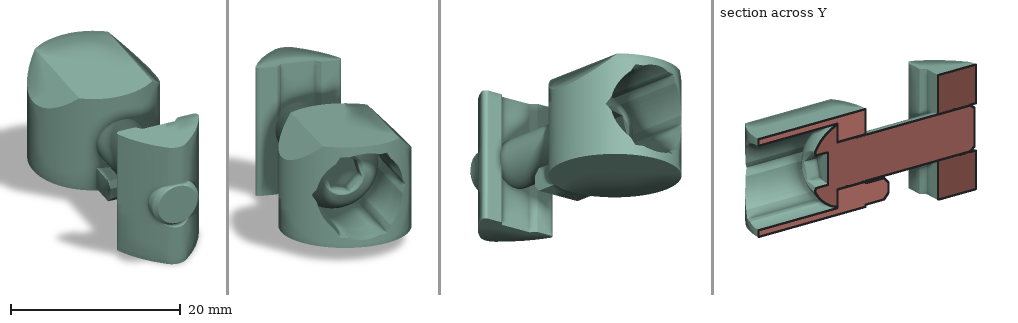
import cadquery as cq
import math


housing_radius = 7.85
housing_height = 12.55
flat_half_width = 4.75
bore_radius = 5.37
hex_bore_corners = 11.6

tab_end_x = 11.2
tab_width = 5.9
tab_top_z = -3.2
tab_height = 2.8
tab_chamfer_length = 0.67
tab_chamfer_height = 0.73

shank_radius = 3.0
bolt_end_x = 23.7
shank_length = 20.0
tip_chamfer_length = 0.6
tip_chamfer_depth = 0.48
head_radius = 5.2
head_height = 3.3
head_rim = 0.32
head_top_radius = 2.57
socket_flats = 4.0
socket_depth = 1.9
socket_turn = 13.0
socket_mouth_radius = 2.48
socket_mouth_depth = 0.15
seat_x = bolt_end_x - shank_length

nut_back_x = 17.68
nut_depth = 6.25
nut_half_width = 5.28
nut_height = 16.0
nut_corner_radius = 0.5
notch_depth = 0.67
notch_half_width = 2.73
notch_floor_half_width = 2.1
flank_start = (0.67, 5.25)
flank_middle = (3.2, 3.72)
flank_end = (5.75, 1.3)


def x_cylinder(radius, start_x, end_x):
    """Round bar along the X axis."""
    return cq.Workplane("YZ", origin=(start_x, 0, 0)).circle(radius).extrude(end_x - start_x)


def make_tab():
    """Flat bar from inside the housing wall, with its free end chamfered above and below."""
    tab_bottom_z = tab_top_z - tab_height
    root_x = seat_x + tab_chamfer_length
    shoulder_x = tab_end_x - tab_chamfer_length
    return (
        cq.Workplane("XZ")
        .moveTo(root_x, tab_top_z)
        .lineTo(shoulder_x, tab_top_z)
        .lineTo(tab_end_x, tab_top_z - tab_chamfer_height)
        .lineTo(tab_end_x, tab_bottom_z + tab_chamfer_height)
        .lineTo(shoulder_x, tab_bottom_z)
        .lineTo(root_x, tab_bottom_z)
        .close()
        .extrude(tab_width / 2, both=True)
    )


def make_housing():
    """Upright cylinder with two top bevels, a blind bore for the bolt head and a tab."""
    half_height = housing_height / 2
    bevel = housing_radius - flat_half_width
    bevelled_block = (
        cq.Workplane("YZ")
        .moveTo(-housing_radius, -half_height)
        .lineTo(housing_radius, -half_height)
        .lineTo(housing_radius, half_height - bevel)
        .lineTo(flat_half_width, half_height)
        .lineTo(-flat_half_width, half_height)
        .lineTo(-housing_radius, half_height - bevel)
        .close()
        .extrude(housing_radius, both=True)
    )
    cylinder = cq.Workplane("XY").circle(housing_radius).extrude(half_height, both=True)
    bore = x_cylinder(bore_radius, -housing_radius, seat_x)
    hex_bore = (
        cq.Workplane("YZ", origin=(-housing_radius, 0, 0))
        .polygon(6, hex_bore_corners)
        .extrude(seat_x + housing_radius)
    )
    shank_hole = x_cylinder(shank_radius, seat_x, housing_radius)
    body = cylinder.intersect(bevelled_block).union(make_tab())
    return body.cut(bore).cut(hex_bore).cut(shank_hole)


def make_bolt():
    """Domed head seated on the bore floor, with a hexagon socket and a chamfered shank."""
    top_x = seat_x - head_height
    rim_x = seat_x - head_rim
    dome_height = rim_x - top_x
    centre_offset = (head_radius**2 - head_top_radius**2 - dome_height**2) / (2 * dome_height)
    dome_radius = math.hypot(head_radius, centre_offset)
    dome_middle_radius = (head_radius + head_top_radius) / 2
    dome_middle_x = rim_x + centre_offset - math.sqrt(dome_radius**2 - dome_middle_radius**2)
    bolt = (
        cq.Workplane("XY")
        .moveTo(top_x, 0)
        .lineTo(top_x, head_top_radius)
        .threePointArc((dome_middle_x, dome_middle_radius), (rim_x, head_radius))
        .lineTo(seat_x, head_radius)
        .lineTo(seat_x, shank_radius)
        .lineTo(bolt_end_x - tip_chamfer_length, shank_radius)
        .lineTo(bolt_end_x, shank_radius - tip_chamfer_depth)
        .lineTo(bolt_end_x, 0)
        .close()
        .revolve(360, (0, 0, 0), (1, 0, 0))
    )
    socket_corners = socket_flats / math.cos(math.radians(30))
    socket = (
        cq.Workplane("YZ", origin=(top_x, 0, 0))
        .polygon(6, socket_corners)
        .extrude(socket_depth)
        .rotate((0, 0, 0), (1, 0, 0), socket_turn)
    )
    socket_mouth = (
        cq.Workplane("XY")
        .moveTo(top_x, 0)
        .lineTo(top_x, socket_mouth_radius)
        .lineTo(top_x + socket_mouth_depth, socket_flats / 2)
        .lineTo(top_x + socket_mouth_depth, 0)
        .close()
        .revolve(360, (0, 0, 0), (1, 0, 0))
    )
    return bolt.cut(socket).cut(socket_mouth)


def make_nut():
    """Upright wedge-shaped nut with curved flanks, a notched back and a hole for the shank."""
    corner_y = nut_half_width - nut_corner_radius
    corner_shift = nut_corner_radius * math.sqrt(0.5)
    corner_middle = (nut_corner_radius - corner_shift, corner_y + corner_shift)

    def mirrored(point):
        return (point[0], -point[1])

    profile = (
        cq.Workplane("XY", origin=(nut_back_x, 0, -nut_height / 2))
        .moveTo(notch_depth, -notch_floor_half_width)
        .lineTo(notch_depth, notch_floor_half_width)
        .lineTo(0, notch_half_width)
        .lineTo(0, corner_y)
        .threePointArc(corner_middle, (nut_corner_radius, nut_half_width))
        .lineTo(*flank_start)
        .threePointArc(flank_middle, flank_end)
        .threePointArc((nut_depth, 0), mirrored(flank_end))
        .threePointArc(mirrored(flank_middle), mirrored(flank_start))
        .lineTo(nut_corner_radius, -nut_half_width)
        .threePointArc(mirrored(corner_middle), (0, -corner_y))
        .lineTo(0, -notch_half_width)
        .close()
    )
    shank_hole = x_cylinder(shank_radius, nut_back_x, nut_back_x + nut_depth)
    return profile.extrude(nut_height).cut(shank_hole)


housing = make_housing()
bolt = make_bolt()
nut = make_nut()

result = cq.Compound.makeCompound([housing.val(), bolt.val(), nut.val()])